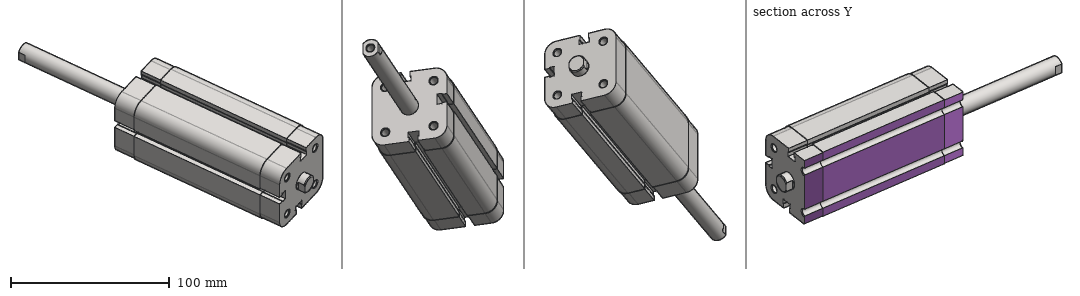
import cadquery as cq
import math

TOTAL_LENGTH = 216.5
ROD_PROTRUSION = 85.7
CYLINDER_LENGTH = 124.7
TUBE_LENGTH = 95.3
COVER_LENGTH = (CYLINDER_LENGTH - TUBE_LENGTH) / 2

TUBE_SIDE = 50.0
COVER_SIDE = 49.4
CORNER_RADIUS = 8.0

TUBE_SLOT_MOUTH = 5.2
TUBE_SLOT_FLOOR = 5.8
COVER_SLOT_MOUTH = 5.8
COVER_SLOT_FLOOR = 7.1
SLOT_TURNS = (0, 90, 180)
SLOT_DEPTH = 7.0
SLOT_LIP = 3.7
SLOT_OFFSET = 2.5

HOLE_DIAMETER = 5.0
HOLE_MOUTH_DIAMETER = 6.0
HOLE_SPACING = 31.8

ROD_DIAMETER = 12.0
FLAT_WIDTH = 10.0
FLAT_LENGTH = 5.0
FLAT_RUNOUT = 0.6
ROD_CHAMFER = 0.6
THREAD_DIAMETER = 4.8
THREAD_MOUTH_DIAMETER = 5.8
THREAD_DEPTH = 13.0
DRILL_POINT_ANGLE = 118.0

ROD_FRONT = -TOTAL_LENGTH / 2
FRONT_COVER_START = ROD_FRONT + ROD_PROTRUSION
TUBE_START = FRONT_COVER_START + COVER_LENGTH
TUBE_END = TUBE_START + TUBE_LENGTH
ROD_REAR = TOTAL_LENGTH / 2


def yz_plane(x):
    """Sketch plane at station x, with local axes along Y and Z and normal along X."""
    return cq.Workplane("YZ", origin=(x, 0, 0))


def sensor_slot(x, length, mouth_width, floor_width, turn):
    """T-shaped slot cutter for the +Z face, turned about the X axis."""
    floor = TUBE_SIDE / 2 - SLOT_DEPTH
    undercut_height = SLOT_DEPTH - SLOT_LIP
    mouth = (
        yz_plane(x)
        .center(SLOT_OFFSET, floor + SLOT_DEPTH / 2)
        .rect(mouth_width, SLOT_DEPTH)
        .extrude(length)
    )
    undercut = (
        yz_plane(x)
        .center(SLOT_OFFSET, floor + undercut_height / 2)
        .rect(floor_width, undercut_height)
        .extrude(length)
    )
    return mouth.union(undercut).rotate((0, 0, 0), (1, 0, 0), turn)


def body_section(x, length, side, mouth_width, floor_width):
    """Rounded square block with slots, corner holes and the rod bore."""
    body = yz_plane(x).rect(side, side).extrude(length).edges("|X").fillet(CORNER_RADIUS)
    for turn in SLOT_TURNS:
        body = body.cut(sensor_slot(x, length, mouth_width, floor_width, turn))
    holes = (
        yz_plane(x)
        .rect(HOLE_SPACING, HOLE_SPACING, forConstruction=True)
        .vertices()
        .circle(HOLE_DIAMETER / 2)
        .extrude(length)
    )
    bore = yz_plane(x).circle(ROD_DIAMETER / 2).extrude(length)
    return body.cut(holes).cut(bore)


def end_cover(x, outer_face):
    """Cover starting at x, with its corner holes chamfered in the outer face."""
    cover = body_section(x, COVER_LENGTH, COVER_SIDE, COVER_SLOT_MOUTH, COVER_SLOT_FLOOR)
    hole_edges = cover.faces(outer_face).edges(cq.selectors.RadiusNthSelector(0))
    return hole_edges.chamfer((HOLE_MOUTH_DIAMETER - HOLE_DIAMETER) / 2)


def wrench_flat(end_x, inward, side):
    """Cutter for one flat; inward is the X direction into the rod, side the sign of Y."""
    flat_y = side * FLAT_WIDTH / 2
    surface_y = side * ROD_DIAMETER / 2
    flat_end_x = end_x + inward * FLAT_LENGTH
    return (
        cq.Workplane("XY", origin=(0, 0, -ROD_DIAMETER / 2))
        .polyline([
            (end_x, flat_y),
            (flat_end_x, flat_y),
            (flat_end_x + inward * FLAT_RUNOUT, surface_y),
            (end_x, surface_y),
        ])
        .close()
        .extrude(ROD_DIAMETER)
    )


def thread_hole():
    """Blind hole in the front rod end, with a chamfered mouth and a drill point."""
    radius = THREAD_DIAMETER / 2
    mouth_radius = THREAD_MOUTH_DIAMETER / 2
    chamfer = mouth_radius - radius
    tip = radius / math.tan(math.radians(DRILL_POINT_ANGLE / 2))
    return (
        cq.Workplane("XY", origin=(ROD_FRONT, 0, 0))
        .polyline([
            (0, 0),
            (0, mouth_radius),
            (chamfer, radius),
            (THREAD_DEPTH, radius),
            (THREAD_DEPTH + tip, 0),
        ])
        .close()
        .revolve(360, (0, 0, 0), (1, 0, 0))
    )


def piston_rod():
    """Through rod with a pair of wrench flats at each end."""
    rod = yz_plane(ROD_FRONT).circle(ROD_DIAMETER / 2).extrude(TOTAL_LENGTH)
    rod = rod.faces(">X").chamfer(ROD_CHAMFER)
    for end_x, inward in ((ROD_FRONT, 1), (ROD_REAR, -1)):
        for side in (-1, 1):
            rod = rod.cut(wrench_flat(end_x, inward, side))
    return rod.cut(thread_hole())


front_cover = end_cover(FRONT_COVER_START, "<X")
tube = body_section(TUBE_START, TUBE_LENGTH, TUBE_SIDE, TUBE_SLOT_MOUTH, TUBE_SLOT_FLOOR)
rear_cover = end_cover(TUBE_END, ">X")
rod = piston_rod()

result = cq.Compound.makeCompound([front_cover.val(), tube.val(), rear_cover.val(), rod.val()])